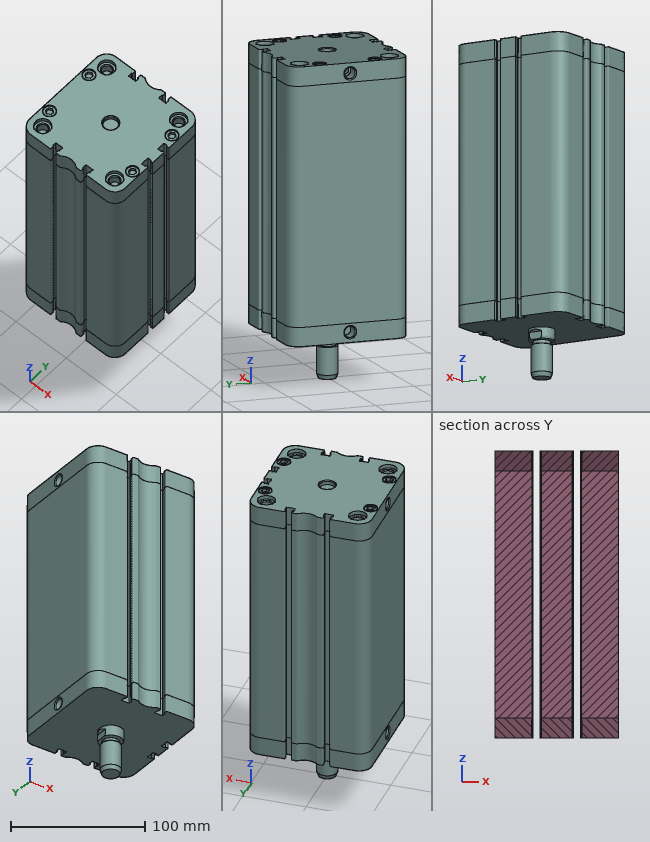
import cadquery as cq
width = 95.5
half_width = width / 2
corner_radius = 10.3
total_length = 251.0
rod_reach = 37.0
block_height = total_length - rod_reach
cap_height = 14.8
cap_draft = 0.3
barrel_height = block_height - 2 * cap_height
barrel_top = cap_height + barrel_height

slot_mouth = 5.0
slot_inner = 6.8
side_slot_offset = 15.0
side_slot_lip = 3.5
side_slot_depth = 6.8
right_slot_offset = 9.0
right_slot_lip = 2.5
right_slot_depth = 5.5

channel_width = 15.8
channel_depth = 3.0
channel_radius = (channel_width ** 2 / 4 + channel_depth ** 2) / (2 * channel_depth)
barrel_mouth_round = 0.8
cap_mouth_round = 0.5

mount_offset = 36.0
mount_recess_diameter = 13.5
mount_recess_depth = 3.0
mount_bore_diameter = 8.3
mount_bore_mouth_diameter = 9.8
mount_bore_depth = 7.5

screw_x = 41.5
screw_y = 22.0
screw_seat_diameter = 10.3
screw_head_diameter = 9.8
screw_head_sink = 0.5
screw_gap_depth = 1.0
socket_corner_diameter = 6.3
socket_depth = 3.0

centre_recess_mouth_diameter = 13.5
centre_recess_diameter = 12.0
centre_recess_depth = 3.5

port_diameter = 8.5
port_mouth_diameter = 10.3
port_depth = 10.0
port_end_distance = 8.0
rear_port_bore_diameter = 5.0
rear_port_bore_depth = 5.0

rod_diameter = 20.0
rod_flat_width = 17.0
flat_start = 1.5
collar_straight_end = 6.8
collar_length = 8.5
collar_end_diameter = 19.0
neck_diameter = 13.5
neck_start = 9.0
neck_end = 11.5
thread_diameter = 16.0
thread_start = 12.0
tip_diameter = 13.5
tip_chamfer_length = 3.5


def slot_cutter(angle, offset, lip, depth):
    """T-slot along the block, in the -Y face turned by the angle about Z."""
    mouth = (
        cq.Workplane("XY")
        .center(offset, -half_width + depth / 2)
        .rect(slot_mouth, depth)
        .extrude(block_height)
    )
    undercut = (
        cq.Workplane("XY")
        .center(offset, -half_width + (lip + depth) / 2)
        .rect(slot_inner, depth - lip)
        .extrude(block_height)
    )
    return mouth.union(undercut).rotate((0, 0, 0), (0, 0, 1), angle)


def cut_slots(body):
    for side in (-1, 1):
        for angle in (0, 180):
            body = body.cut(slot_cutter(angle, side * side_slot_offset, side_slot_lip, side_slot_depth))
        body = body.cut(slot_cutter(90, side * right_slot_offset, right_slot_lip, right_slot_depth))
    return body


def cut_channels(body):
    axis_y = half_width - channel_depth + channel_radius
    channels = cq.Workplane("XY").pushPoints([(0, axis_y), (0, -axis_y)])
    return body.cut(channels.circle(channel_radius).extrude(block_height))


def make_grooved_block(height):
    """Rounded square block from Z = 0, with its slots and channels."""
    body = cq.Workplane("XY").rect(width, width).extrude(height)
    body = body.edges("|Z").fillet(corner_radius)
    return cut_channels(cut_slots(body))


def round_mouths(body, radius):
    """Round the sharp slot and channel edges in the +Y and -Y faces."""
    reach = side_slot_offset + slot_mouth
    for y in (-half_width, half_width):
        selection = cq.selectors.BoxSelector((-reach, y - 0.3, 0), (reach, y + 0.3, block_height))
        body = body.edges("|Z").edges(selection).fillet(radius)
    return body


def make_barrel():
    return round_mouths(make_grooved_block(barrel_height), barrel_mouth_round).translate((0, 0, cap_height))


def make_plain_cap():
    """Drafted cap standing on Z = 0, its outer face up."""
    upright = round_mouths(make_grooved_block(cap_height), cap_mouth_round)
    outline = upright.faces("<Z").wires().val()
    return cq.Workplane("XY").add(outline).toPending().extrude(cap_height, taper=cap_draft)


def port_cutter(z):
    """Blind port along +X with a 45 degree countersunk mouth."""
    face = cq.Workplane("YZ", origin=(-half_width, 0, z))
    bore = face.circle(port_diameter / 2).extrude(port_depth)
    countersink = (port_mouth_diameter - port_diameter) / 2
    mouth = face.circle(port_mouth_diameter / 2).extrude(countersink, taper=45)
    return bore.union(mouth)


def four_points(x, y):
    return [(x, y), (-x, y), (-x, -y), (x, -y)]


def cut_mounting_holes(cap):
    recess_floor = block_height - mount_recess_depth
    countersink = (mount_bore_mouth_diameter - mount_bore_diameter) / 2
    corners = four_points(mount_offset, mount_offset)
    recesses = cq.Workplane("XY", origin=(0, 0, block_height)).pushPoints(corners)
    bores = cq.Workplane("XY", origin=(0, 0, recess_floor)).pushPoints(corners)
    cap = cap.cut(recesses.circle(mount_recess_diameter / 2).extrude(-mount_recess_depth))
    cap = cap.cut(bores.circle(mount_bore_diameter / 2).extrude(-mount_bore_depth))
    return cap.cut(bores.circle(mount_bore_mouth_diameter / 2).extrude(-countersink, taper=45))


def cut_screw_heads(cap):
    """Sunk heads with a narrow gap around them and a hexagon socket, corners along Y."""
    centres = four_points(screw_x, screw_y)
    face = cq.Workplane("XY", origin=(0, 0, block_height)).pushPoints(centres)
    gap = (
        face.circle(screw_seat_diameter / 2)
        .circle(screw_head_diameter / 2)
        .extrude(-screw_gap_depth)
    )
    sink = face.circle(screw_seat_diameter / 2).extrude(-screw_head_sink)
    sockets = (
        cq.Workplane(cq.Plane((0, 0, block_height), xDir=(0, 1, 0), normal=(0, 0, 1)))
        .pushPoints(four_points(screw_y, screw_x))
        .polygon(6, socket_corner_diameter)
        .extrude(-socket_depth)
    )
    return cap.cut(gap).cut(sink).cut(sockets)


def cut_centre_recess(cap):
    face = cq.Workplane("XY", origin=(0, 0, block_height))
    countersink = (centre_recess_mouth_diameter - centre_recess_diameter) / 2
    cap = cap.cut(face.circle(centre_recess_diameter / 2).extrude(-centre_recess_depth))
    return cap.cut(face.circle(centre_recess_mouth_diameter / 2).extrude(-countersink, taper=45))


def make_front_cap():
    cap = make_plain_cap().mirror("XY").translate((0, 0, cap_height))
    return cap.cut(port_cutter(port_end_distance))


def make_rear_cap():
    port_z = block_height - port_end_distance
    cap = make_plain_cap().translate((0, 0, barrel_top)).cut(port_cutter(port_z))
    port_floor = cq.Workplane("YZ", origin=(-half_width + port_depth, 0, port_z))
    cap = cap.cut(port_floor.circle(rear_port_bore_diameter / 2).extrude(rear_port_bore_depth))
    cap = cut_centre_recess(cap)
    return cut_screw_heads(cut_mounting_holes(cap))


def make_piston_rod():
    """Turned rod hanging below the front cap, with two wrench flats across X."""
    rod_radius = rod_diameter / 2
    profile = [
        (0, 0),
        (rod_radius, 0),
        (rod_radius, -collar_straight_end),
        (collar_end_diameter / 2, -collar_length),
        (neck_diameter / 2, -neck_start),
        (neck_diameter / 2, -neck_end),
        (thread_diameter / 2, -thread_start),
        (thread_diameter / 2, -(rod_reach - tip_chamfer_length)),
        (tip_diameter / 2, -rod_reach),
        (0, -rod_reach),
    ]
    rod = cq.Workplane("XZ").polyline(profile).close().revolve(360, (0, 0, 0), (0, 1, 0))
    flat_x = rod_flat_width / 2
    shoulder = rod_radius - flat_x
    for side in (-1, 1):
        section = [
            (side * rod_radius, -flat_start),
            (side * flat_x, -(flat_start + shoulder)),
            (side * flat_x, -neck_start),
            (side * rod_radius, -neck_start),
        ]
        rod = rod.cut(cq.Workplane("XZ").polyline(section).close().extrude(rod_radius, both=True))
    return rod


barrel = make_barrel()
front_cap = make_front_cap()
rear_cap = make_rear_cap()
piston_rod = make_piston_rod()

result = cq.Compound.makeCompound([barrel.val(), front_cap.val(), rear_cap.val(), piston_rod.val()])